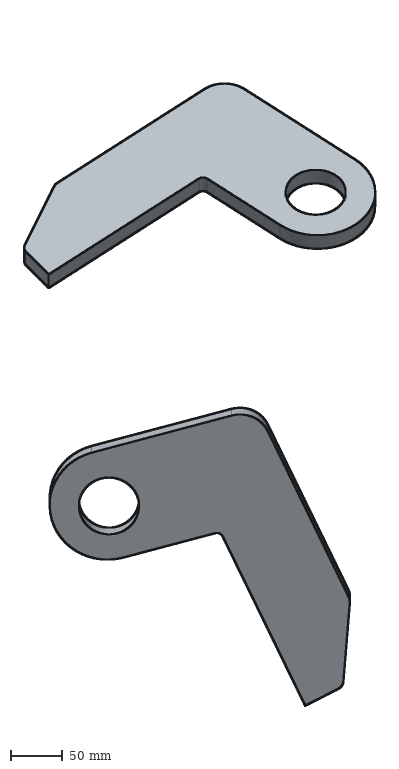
import cadquery as cq
import math

thickness = 20.0
end_radius = 56.7
hole_radius = 29.5
hole_x = -1.2
hole_y = -1.2

lean_angle = 9.0
shoulder_x = -202.5
shoulder_y = -159.3
toe_x = -171.5
toe_y = -244.0
tip_x = -130.2
tip_y = -253.2

heel_radius = 30.0
inner_radius = 6.2
shoulder_radius = 15.0
toe_radius = 10.0


def point_on_leg_edge(start_x, start_y, y):
    """Follow a leaning leg edge from its start point up to height y."""
    return (start_x + (y - start_y) * math.tan(math.radians(lean_angle)), y)


heel = point_on_leg_edge(shoulder_x, shoulder_y, end_radius)
inner_corner = point_on_leg_edge(tip_x, tip_y, -end_radius)


def make_blank():
    """Flat bent plate with a semicircular end and sharp corners."""
    return (
        cq.Workplane("XY")
        .moveTo(*heel)
        .lineTo(0, end_radius)
        .threePointArc((end_radius, 0), (0, -end_radius))
        .lineTo(*inner_corner)
        .lineTo(tip_x, tip_y)
        .lineTo(toe_x, toe_y)
        .lineTo(shoulder_x, shoulder_y)
        .close()
        .extrude(thickness)
    )


def round_corner(body, corner, radius):
    """Round the vertical edge that stands at the given corner."""
    edge = cq.selectors.NearestToPointSelector((*corner, thickness / 2))
    return body.edges("|Z").edges(edge).fillet(radius)


plate = make_blank()
rounded_corners = [
    (heel, heel_radius),
    (inner_corner, inner_radius),
    ((shoulder_x, shoulder_y), shoulder_radius),
    ((toe_x, toe_y), toe_radius),
]
for corner, radius in rounded_corners:
    plate = round_corner(plate, corner, radius)

hole = cq.Workplane("XY").center(hole_x, hole_y).circle(hole_radius).extrude(thickness)

result = plate.cut(hole)